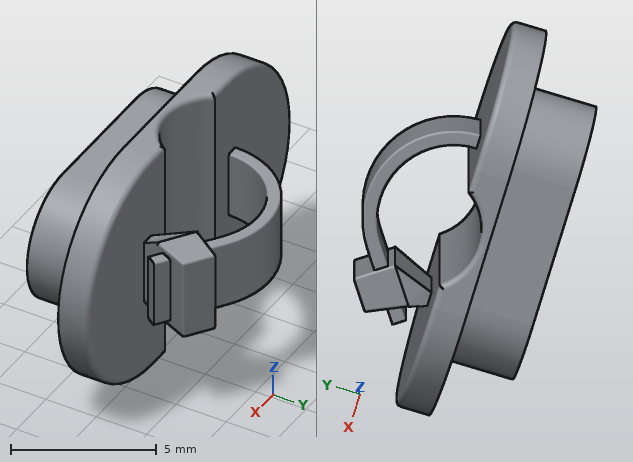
import cadquery as cq
import math


flange_length = 13.9
flange_width = 8.9
flange_thickness = 1.2
flange_rounding = 0.21
boss_inset = 2.0
boss_length = flange_length - 2 * boss_inset
boss_width = flange_width - 2 * boss_inset
boss_height = 2.4

saddle_radius = 2.06
saddle_center_y = 1.17

loop_outer_radius = 3.14
band_thickness = 0.5
loop_inner_radius = loop_outer_radius - band_thickness
band_width = 2.65
band_rounding = 0.08
tail_slope = 35.0
tail_length = 2.81

buckle_start = 0.8
buckle_end_outer = 2.06
buckle_end_inner = 2.34
buckle_inner_offset = 2.39
buckle_outer_offset = 3.89
buckle_width = 3.17
buckle_rounding = 0.1

slope_angle = math.radians(tail_slope)


def tail_point(along, outward):
    """XY point given by its distance along the tail and its offset from the loop centre."""
    x = along * math.cos(slope_angle) + outward * math.sin(slope_angle)
    y = outward * math.cos(slope_angle) - along * math.sin(slope_angle)
    return (x, y)


def arc_middle(radius):
    """Midpoint of the loop arc, which runs from the -X foot to the start of the tail."""
    middle_angle = (math.pi + math.pi / 2 - slope_angle) / 2
    return (radius * math.cos(middle_angle), radius * math.sin(middle_angle))


def make_base():
    saddle = (
        cq.Workplane("XY")
        .center(0, saddle_center_y)
        .circle(saddle_radius)
        .extrude(flange_width, both=True)
    )
    flange = (
        cq.Workplane("XZ")
        .slot2D(flange_length, flange_width)
        .extrude(flange_thickness)
        .cut(saddle)
    )
    mounting_rim = flange.faces(">Y").edges("not(|Z)")
    saddle_face = flange.faces("%CYLINDER").faces(cq.selectors.NearestToPointSelector((0, 0, 0)))
    saddle_rims = saddle_face.edges("not(|Z)")
    flange = mounting_rim.add(saddle_rims).fillet(flange_rounding)
    boss = (
        cq.Workplane("XZ", origin=(0, -flange_thickness, 0))
        .slot2D(boss_length, boss_width)
        .extrude(boss_height)
    )
    return flange.union(boss)


def make_band():
    """Loop arc and tail in one strip, with its long edges rounded."""
    tip_direction = cq.Vector(*tail_point(0, 1))
    short_edges = cq.selectors.ParallelDirSelector(tip_direction) + cq.StringSyntaxSelector("|X")
    long_edges = -short_edges
    return (
        cq.Workplane("XY")
        .moveTo(-loop_outer_radius, 0)
        .threePointArc(arc_middle(loop_outer_radius), tail_point(0, loop_outer_radius))
        .lineTo(*tail_point(tail_length, loop_outer_radius))
        .lineTo(*tail_point(tail_length, loop_inner_radius))
        .lineTo(*tail_point(0, loop_inner_radius))
        .threePointArc(arc_middle(loop_inner_radius), (-loop_inner_radius, 0))
        .close()
        .extrude(band_width / 2, both=True)
        .faces("|Z").edges(long_edges)
        .fillet(band_rounding)
    )


def make_buckle():
    """Tapered block around the tail; its inner face stays sharp where the neck joins."""
    buckle = (
        cq.Workplane("XY")
        .polyline([
            tail_point(buckle_start, buckle_inner_offset),
            tail_point(buckle_start, buckle_outer_offset),
            tail_point(buckle_end_outer, buckle_outer_offset),
            tail_point(buckle_end_inner, buckle_inner_offset),
        ])
        .close()
        .extrude(buckle_width / 2, both=True)
    )
    inward = cq.Vector(-math.sin(slope_angle), -math.cos(slope_angle), 0)
    inner_face = buckle.faces(cq.selectors.DirectionMinMaxSelector(inward))
    inner_edges = inner_face.edges().vals()
    free_edges = [
        edge for edge in buckle.edges().vals()
        if not any(edge.isSame(inner_edge) for inner_edge in inner_edges)
    ]
    return buckle.newObject(free_edges).fillet(buckle_rounding)


def cross_wire(first, second, width):
    """Rectangle spanning two XY points and a width centred along Z."""
    half = width / 2
    corners = [(*first, -half), (*second, -half), (*second, half), (*first, half)]
    return cq.Wire.makePolygon([cq.Vector(*corner) for corner in corners], close=True)


def make_neck():
    """Ruled transition from the buckle's inner face to the +X foot of the loop."""
    buckle_section = cross_wire(
        tail_point(buckle_start, buckle_inner_offset),
        tail_point(buckle_end_inner, buckle_inner_offset),
        buckle_width,
    )
    foot_width = band_width - 2 * band_rounding
    foot_section = cross_wire((loop_inner_radius, 0), (loop_outer_radius, 0), foot_width)
    return cq.Workplane(cq.Solid.makeLoft([buckle_section, foot_section], True))


def make_tie():
    return make_band().union(make_buckle()).union(make_neck())


base = make_base()
tie = make_tie()

result = cq.Compound.makeCompound([base.val(), tie.val()])